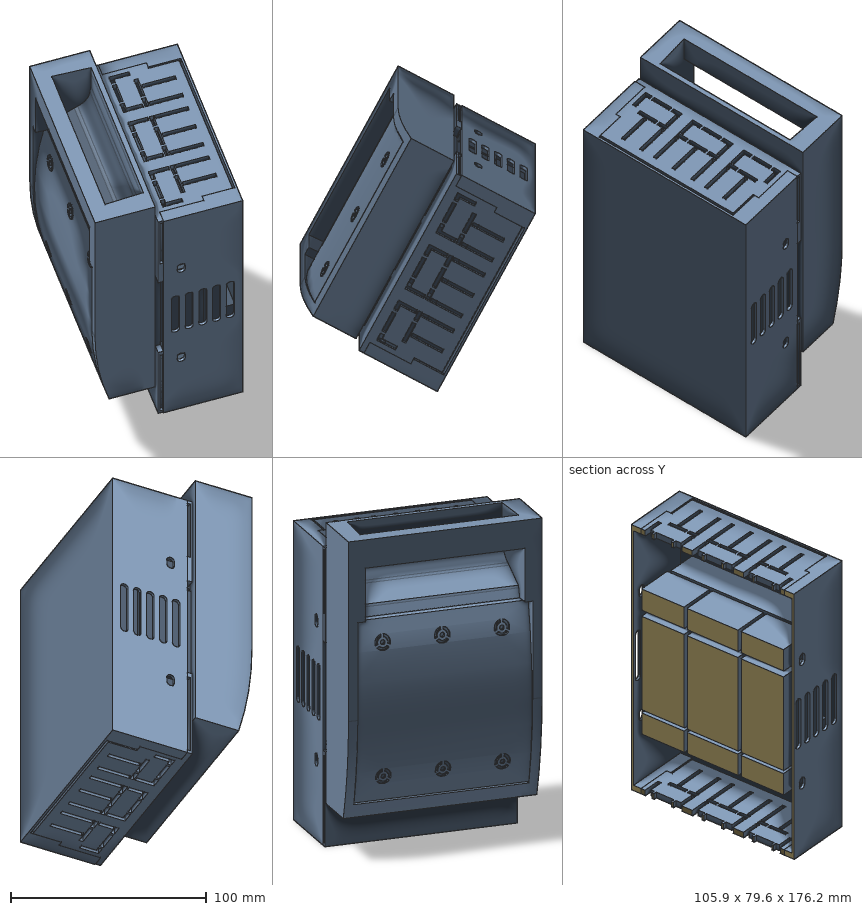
import cadquery as cq


WIDTH = 105.9
HALF_WIDTH = WIDTH / 2
TOTAL_REACH = 79.6
TOTAL_HEIGHT = 176.2

HOUSING_HEIGHT = 161.9
HOUSING_REACH = 42.6
BACK_WALL = 1.2
SIDE_WALL = 1.5
END_WALL = 3.5
STEP_REACH = 18.9
OPENING_HALF_NARROW = 43.7
OPENING_HALF_WIDE = 46.5
MID_HEIGHT = HOUSING_HEIGHT / 2

SIDE_BLOCK_INNER = 18.5
MIDDLE_POLE_BLOCK_HALF = 16.5

BASE_HEIGHT = 91.6
GROOVE_REACH = 8.1
GROOVE_HEIGHT = 35.2
TERMINAL_HEIGHT = 13.2
TERMINAL_REACH = 40.5
TERMINAL_OUTER = 46.2
TERMINAL_INSET = 1.4

VENT_COUNT = 5
VENT_PITCH = 7.4
VENT_WIDTH = 4.2
VENT_LENGTH = 30.3
FIRST_VENT_REACH = 6.7
SIDE_HOLE_REACH = 33.1
SIDE_HOLE_LENGTH = 6.9
SIDE_HOLE_WIDTH = 4.2
SIDE_HOLE_OFFSET = 37.7

COVER_HEIGHT = 51.5
PLATE_REACH = 45.5
PLATE_SIDE_GAP = 0.5
TONGUE_GAP = 1.2
TONGUE_SIDE_GAP = 0.9
RIB_HEIGHT = 16.4
OUTER_RIB_OUTER = 47.0
MIDDLE_RIB_HALF = 14.1
FINGER_NOTCH_DEPTH = 1.8
FINGER_NOTCH_THICKNESS = 1.8
FINGER_NOTCH_MARGIN = 1.8
UPPER_NOTCH_LENGTH = 34.0
LOWER_NOTCH_LENGTH = 46.9

SLOT_WIDTH = 2.1
BLADE_SLOT_START = 7.5
BLADE_SLOT_END = 25.5
OUTER_BLADE_SLOT = 33.0
BAR_SLOT_REACH = 27.3
HOOK_SLOT_START = 29.2
HOOK_SLOT_END = 40.0
SIDE_POLE = 32.6
BAR_HALF = 5.6
BAR_GAP = 1.4
MIDDLE_POLE_HALF = 13.2
SIDE_POLE_INNER = 20.0
SIDE_POLE_OUTER = 43.9

FRAME_BACK = 47.2
FRAME_BOTTOM = 24.0
CURVE_START_HEIGHT = 79.0
CURVE_SETBACK = 7.5
CURVE_RADIUS = ((CURVE_START_HEIGHT - FRAME_BOTTOM) ** 2 + CURVE_SETBACK**2) / (2 * CURVE_SETBACK)

GRIP_WALL_REACH = 50.0
BEAM_BACK = 71.0
BEAM_BOTTOM = 160.9
HAND_HALF_FRONT = 43.7
HAND_HALF_BACK = 42.3
WALL_DRAFT_START = (GRIP_WALL_REACH, 170.9)
WALL_DRAFT_END = (50.2, 160.3)
HOLLOW_TOP = (50.7, 156.1)
HOLLOW_MIDDLE = (52.7, 150.1)
HOLLOW_END = (57.3, 146.0)
GRIP_SLOPE_START = (59.0, 145.2)
GRIP_EDGE_TOP = (70.8, 138.1)
GRIP_EDGE_BOTTOM = (71.4, 136.9)
GRIP_FOOT_REACH = 72.5

POCKET_WIDTH = 95.7
POCKET_BOTTOM = 31.5
POCKET_TOP = 131.8
POCKET_FLOOR = 67.7
WINDOW_BOTTOM = 32.5
WINDOW_CHAMFER = 1.4
WINDOW_ARC_TOP = POCKET_TOP - WINDOW_CHAMFER
WINDOW_TOP_REACH = 73.0
WINDOW_BOTTOM_REACH = 74.0
WINDOW_CROWN_REACH = 78.8

TEST_POINT_PITCH = 32.6
TEST_POINT_HEIGHTS = (45.8, 118.0)
RING_OUTER_RADIUS = 4.2
RING_INNER_RADIUS = 2.8
RING_SPOKE_WIDTH = 1.4
RING_SPOKE_ANGLES = (90, 210, 330)
PROBE_RADIUS = 1.2
TEST_POINT_DEPTH = 1.4

CARRIER_BOTTOM = COVER_HEIGHT
CARRIER_TOP = 108.7
CARRIER_SHOULDER_OUTER = 47.7
CARRIER_BODY_OUTER = 46.2


def block(x_range, reach_range, z_range):
    """Box between two X values, two reaches and two heights."""
    size_x = x_range[1] - x_range[0]
    size_y = reach_range[1] - reach_range[0]
    size_z = z_range[1] - z_range[0]
    corner = (x_range[0], -reach_range[1], z_range[0])
    return cq.Workplane("XY").box(size_x, size_y, size_z, centered=False).translate(corner)


def yz(point):
    """Local point on the YZ plane for a (reach, height) pair."""
    return (-point[0], point[1])


def pole_ranges(outer, middle_half=MIDDLE_POLE_BLOCK_HALF):
    """X ranges of the three poles, of which the side ones end at the outer value."""
    return [(-outer, -SIDE_BLOCK_INNER), (-middle_half, middle_half), (SIDE_BLOCK_INNER, outer)]


def side_vents():
    vents = cq.Workplane("XY")
    for index in range(VENT_COUNT):
        reach = FIRST_VENT_REACH + index * VENT_PITCH
        vents = vents.add(
            cq.Workplane("YZ")
            .center(-reach, MID_HEIGHT)
            .slot2D(VENT_LENGTH, VENT_WIDTH, 90)
            .extrude(HALF_WIDTH, both=True)
        )
    return vents.combine()


def side_holes():
    centres = [(-SIDE_HOLE_REACH, MID_HEIGHT + side * SIDE_HOLE_OFFSET) for side in (-1, 1)]
    ovals = cq.Workplane("YZ").pushPoints(centres).slot2D(SIDE_HOLE_LENGTH, SIDE_HOLE_WIDTH, 90)
    return ovals.extrude(HALF_WIDTH, both=True)


def fuse_base():
    """Block on the back wall, with a terminal of each pole at its top and its bottom."""
    bottom = MID_HEIGHT - BASE_HEIGHT / 2
    top = MID_HEIGHT + BASE_HEIGHT / 2
    base_x = (-OPENING_HALF_NARROW, OPENING_HALF_NARROW)
    base = block(base_x, (BACK_WALL, STEP_REACH), (bottom, top))
    groove_z = (MID_HEIGHT - GROOVE_HEIGHT / 2, MID_HEIGHT + GROOVE_HEIGHT / 2)
    base = base.cut(block(base_x, (BACK_WALL, GROOVE_REACH), groove_z))
    low_end = bottom + TERMINAL_INSET
    high_end = top - TERMINAL_INSET
    for x_range in pole_ranges(TERMINAL_OUTER):
        for z_range in ((low_end, low_end + TERMINAL_HEIGHT), (high_end - TERMINAL_HEIGHT, high_end)):
            base = base.union(block(x_range, (STEP_REACH, TERMINAL_REACH), z_range))
    return base


def make_housing():
    full_z = (0, HOUSING_HEIGHT)
    inner_z = (END_WALL, HOUSING_HEIGHT - END_WALL)
    inner_half = HALF_WIDTH - SIDE_WALL
    shell = block((-HALF_WIDTH, HALF_WIDTH), (0, HOUSING_REACH), full_z)
    shell = shell.cut(block((-inner_half, inner_half), (BACK_WALL, HOUSING_REACH), inner_z))
    narrow_x = (-OPENING_HALF_NARROW, OPENING_HALF_NARROW)
    shell = shell.cut(block(narrow_x, (BACK_WALL, STEP_REACH), full_z))
    wide_x = (-OPENING_HALF_WIDE, OPENING_HALF_WIDE)
    shell = shell.cut(block(wide_x, (STEP_REACH, HOUSING_REACH), full_z))
    shell = shell.cut(side_vents()).cut(side_holes())
    return shell.union(fuse_base())


def end_wall_slots(z_range):
    """Blade, bar and hook slots of the three poles."""
    half = SLOT_WIDTH / 2
    foot_range = (HOOK_SLOT_END - SLOT_WIDTH, HOOK_SLOT_END)
    bar_range = (BAR_SLOT_REACH - half, BAR_SLOT_REACH + half)
    slots = []

    blade_centres = [0]
    for side in (-1, 1):
        blade_centres += [
            side * OUTER_BLADE_SLOT,
            side * (SIDE_POLE_INNER + half),
            side * (MIDDLE_POLE_HALF - half),
        ]
    for x in blade_centres:
        slots.append(block((x - half, x + half), (BLADE_SLOT_START, BLADE_SLOT_END), z_range))

    poles = [
        (-SIDE_POLE, -SIDE_POLE_OUTER, -SIDE_POLE_INNER),
        (0, -MIDDLE_POLE_HALF, MIDDLE_POLE_HALF),
        (SIDE_POLE, SIDE_POLE_INNER, SIDE_POLE_OUTER),
    ]
    for centre, left, right in poles:
        bar_x = (centre - BAR_HALF, centre + BAR_HALF)
        left_foot = (left, bar_x[0] - BAR_GAP)
        right_foot = (bar_x[1] + BAR_GAP, right)
        for x_range in (left_foot, bar_x, right_foot):
            slots.append(block(x_range, foot_range, z_range))
            if max(abs(x_range[0]), abs(x_range[1])) < SIDE_POLE_OUTER:
                slots.append(block(x_range, bar_range, z_range))
        for x_range in ((left, left + SLOT_WIDTH), (right - SLOT_WIDTH, right)):
            slots.append(block(x_range, (HOOK_SLOT_START, HOOK_SLOT_END), z_range))
    return slots


def make_cover(notch_length):
    """Terminal cover at the housing's top."""
    top = HOUSING_HEIGHT
    bottom = top - COVER_HEIGHT
    wall_z = (top - END_WALL, top)
    plate_right = HALF_WIDTH - PLATE_SIDE_GAP

    cover = block((-HALF_WIDTH, plate_right), (HOUSING_REACH, PLATE_REACH), (bottom, top))
    wall_x = (-OPENING_HALF_WIDE, OPENING_HALF_WIDE)
    cover = cover.union(block(wall_x, (STEP_REACH, HOUSING_REACH), wall_z))
    tongue_x = (-OPENING_HALF_NARROW + TONGUE_SIDE_GAP, OPENING_HALF_NARROW)
    cover = cover.union(block(tongue_x, (BACK_WALL + TONGUE_GAP, STEP_REACH), wall_z))

    for x_range in pole_ranges(OUTER_RIB_OUTER, MIDDLE_RIB_HALF):
        cover = cover.union(block(x_range, (PLATE_REACH, FRAME_BACK), (bottom, bottom + RIB_HEIGHT)))

    notch_top = top - FINGER_NOTCH_MARGIN
    notch_z = (notch_top - notch_length, notch_top)
    notch_reach = (HOUSING_REACH, HOUSING_REACH + FINGER_NOTCH_THICKNESS)
    left_notch = (-HALF_WIDTH, -HALF_WIDTH + FINGER_NOTCH_DEPTH)
    right_notch = (plate_right - FINGER_NOTCH_DEPTH, plate_right)
    for x_range in (left_notch, right_notch):
        cover = cover.cut(block(x_range, notch_reach, notch_z))

    for slot in end_wall_slots(wall_z):
        cover = cover.cut(slot)
    return cover


def frame_blank():
    """Side outline of the frame, whose lower front curves back tangentially."""
    curve_end_reach = TOTAL_REACH - CURVE_SETBACK
    half_drop = (CURVE_START_HEIGHT - FRAME_BOTTOM) / 2
    mid_setback = CURVE_RADIUS - (CURVE_RADIUS**2 - half_drop**2) ** 0.5
    return (
        cq.Workplane("YZ")
        .moveTo(-FRAME_BACK, FRAME_BOTTOM)
        .lineTo(-FRAME_BACK, TOTAL_HEIGHT)
        .lineTo(-TOTAL_REACH, TOTAL_HEIGHT)
        .lineTo(-TOTAL_REACH, CURVE_START_HEIGHT)
        .threePointArc(
            (-(TOTAL_REACH - mid_setback), CURVE_START_HEIGHT - half_drop),
            (-curve_end_reach, FRAME_BOTTOM),
        )
        .close()
        .extrude(HALF_WIDTH, both=True)
    )


def hand_opening():
    """Space behind and below the top beam, narrowing towards the back."""
    profile = (
        cq.Workplane("YZ")
        .moveTo(-GRIP_WALL_REACH, TOTAL_HEIGHT)
        .lineTo(*yz(WALL_DRAFT_START))
        .lineTo(*yz(WALL_DRAFT_END))
        .lineTo(*yz(HOLLOW_TOP))
        .threePointArc(yz(HOLLOW_MIDDLE), yz(HOLLOW_END))
        .lineTo(*yz(GRIP_SLOPE_START))
        .lineTo(*yz(GRIP_EDGE_TOP))
        .lineTo(*yz(GRIP_EDGE_BOTTOM))
        .lineTo(-GRIP_FOOT_REACH, POCKET_TOP)
        .lineTo(-TOTAL_REACH, POCKET_TOP)
        .lineTo(-TOTAL_REACH, BEAM_BOTTOM)
        .lineTo(-BEAM_BACK, BEAM_BOTTOM)
        .lineTo(-BEAM_BACK, TOTAL_HEIGHT)
        .close()
        .extrude(HALF_WIDTH, both=True)
    )
    plan = (
        cq.Workplane("XY")
        .polyline(
            [
                (-HAND_HALF_BACK, -GRIP_WALL_REACH),
                (HAND_HALF_BACK, -GRIP_WALL_REACH),
                (HAND_HALF_FRONT, -TOTAL_REACH),
                (-HAND_HALF_FRONT, -TOTAL_REACH),
            ]
        )
        .close()
        .extrude(TOTAL_HEIGHT)
    )
    return profile.intersect(plan)


def add_fuse_carriers(frame):
    """Three carriers reach from the frame's back to the fuse base."""
    carrier_z = (CARRIER_BOTTOM, CARRIER_TOP)
    for x_range in pole_ranges(CARRIER_SHOULDER_OUTER):
        frame = frame.union(block(x_range, (HOUSING_REACH, FRAME_BACK), carrier_z))
    for x_range in pole_ranges(CARRIER_BODY_OUTER):
        frame = frame.union(block(x_range, (STEP_REACH, HOUSING_REACH), carrier_z))
    return frame


def make_handle_frame():
    pocket_x = (-POCKET_WIDTH / 2, POCKET_WIDTH / 2)
    pocket = block(pocket_x, (POCKET_FLOOR, TOTAL_REACH), (POCKET_BOTTOM, POCKET_TOP))
    return add_fuse_carriers(frame_blank().cut(hand_opening()).cut(pocket))


def window_blank():
    middle = (WINDOW_BOTTOM + WINDOW_ARC_TOP) / 2
    return (
        cq.Workplane("YZ")
        .moveTo(-POCKET_FLOOR, WINDOW_BOTTOM)
        .lineTo(-POCKET_FLOOR, POCKET_TOP)
        .lineTo(-(WINDOW_TOP_REACH - WINDOW_CHAMFER), POCKET_TOP)
        .lineTo(-WINDOW_TOP_REACH, WINDOW_ARC_TOP)
        .threePointArc((-WINDOW_CROWN_REACH, middle), (-WINDOW_BOTTOM_REACH, WINDOW_BOTTOM))
        .close()
        .extrude(POCKET_WIDTH / 2, both=True)
    )


def test_point_cutter():
    """Probe hole and a ring groove interrupted by three spokes, running along Y."""
    ring = cq.Workplane("XZ").circle(RING_OUTER_RADIUS).circle(RING_INNER_RADIUS).extrude(TOTAL_REACH)
    spoke_end = 2 * RING_OUTER_RADIUS
    for angle in RING_SPOKE_ANGLES:
        spoke = (
            cq.Workplane("XZ")
            .center(spoke_end / 2, 0)
            .rect(spoke_end, RING_SPOKE_WIDTH)
            .extrude(TOTAL_REACH)
            .rotate((0, 0, 0), (0, 1, 0), -angle)
        )
        ring = ring.cut(spoke)
    probe = cq.Workplane("XZ").circle(PROBE_RADIUS).extrude(TOTAL_REACH)
    return ring.union(probe)


def make_window():
    window = window_blank()
    back_part = block((-HALF_WIDTH, HALF_WIDTH), (0, POCKET_FLOOR), (0, TOTAL_HEIGHT))
    uncut = window.translate((0, TEST_POINT_DEPTH, 0)).union(back_part)
    for height in TEST_POINT_HEIGHTS:
        for column in (-1, 0, 1):
            cutter = test_point_cutter().translate((column * TEST_POINT_PITCH, 0, height))
            window = window.cut(cutter.cut(uncut))
    return window


housing = make_housing()
upper_cover = make_cover(UPPER_NOTCH_LENGTH)
lower_cover = make_cover(LOWER_NOTCH_LENGTH).mirror("XY", (0, 0, MID_HEIGHT))
handle_frame = make_handle_frame()
window = make_window()

result = cq.Compound.makeCompound(
    [
        housing.solids().val(),
        upper_cover.solids().val(),
        lower_cover.solids().val(),
        handle_frame.solids().val(),
        window.solids().val(),
    ]
)